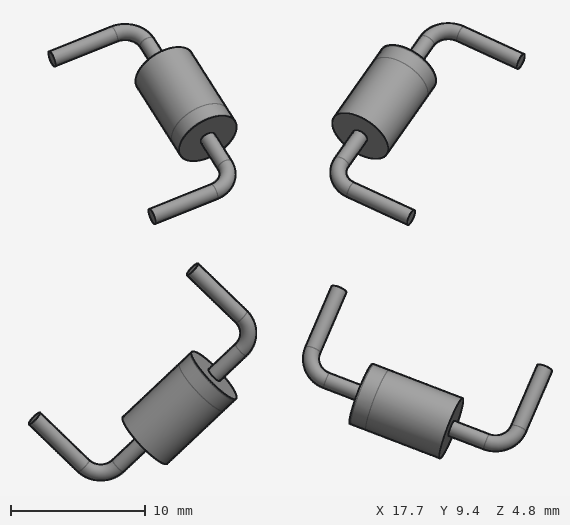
import cadquery as cq

overall_width = 17.73
overall_depth = 9.4

body_diameter = 4.8
body_length = 7.22
band_width = 1.19
rim_width = 0.1

wire_diameter = 1.22
bend_radius = 1.5 * wire_diameter
lead_spacing = overall_width - wire_diameter
lead_reach = overall_depth - body_diameter / 2


def make_body_section(start_x, end_x):
    """Solid slice of the body cylinder between two X positions."""
    return (
        cq.Workplane("YZ", origin=(start_x, 0, 0))
        .circle(body_diameter / 2)
        .extrude(end_x - start_x)
    )


def make_body():
    """Barrel, marking band and end rim, all flush, with their dividing edges kept."""
    end_x = body_length / 2
    rim_x = end_x - rim_width
    band_x = rim_x - band_width
    barrel = make_body_section(-end_x, band_x)
    band = make_body_section(band_x, rim_x)
    rim = make_body_section(rim_x, end_x)
    return barrel.union(band, clean=False).union(rim, clean=False)


def make_leads():
    """One continuous wire: leg, bend, straight run through the body, bend, leg."""
    leg_x = lead_spacing / 2
    straight_end_x = leg_x - bend_radius
    centre_line = (
        cq.Workplane("XY")
        .moveTo(-leg_x, -lead_reach)
        .lineTo(-leg_x, -bend_radius)
        .radiusArc((-straight_end_x, 0), bend_radius)
        .lineTo(straight_end_x, 0)
        .radiusArc((leg_x, -bend_radius), bend_radius)
        .lineTo(leg_x, -lead_reach)
    )
    return (
        cq.Workplane("XZ", origin=(-leg_x, -lead_reach, 0))
        .circle(wire_diameter / 2)
        .sweep(centre_line)
    )


result = make_body().union(make_leads(), clean=False)